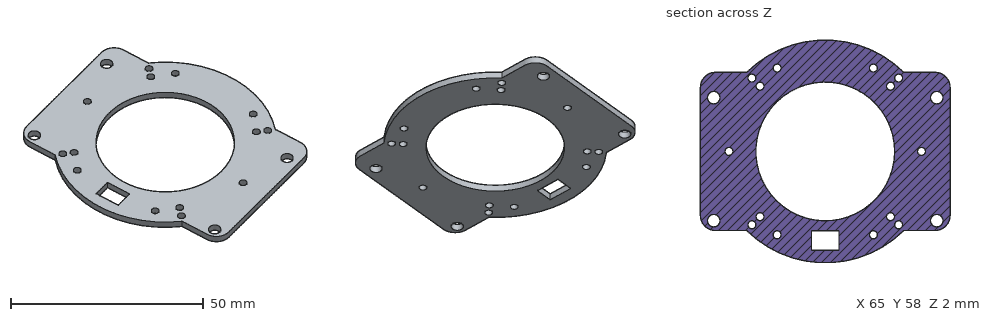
import cadquery as cq
import math

plate_length = 65.0
plate_width = 41.2
corner_radius = 4.0
thickness = 2.0
disc_diameter = 58.0
bore_diameter = 36.0

pilot_diameter = 2.0
pilot_circle_radius = 25.0
pilot_count = 6
diagonal_radii = (24.0, 27.0)

mount_diameter = 3.2
mount_x = 29.0
mount_back_y = 14.0
mount_front_y = -18.0

window_length = 7.1
window_width = 5.0
window_y = -23.15


def polar_point(radius, angle_degrees):
    angle = math.radians(angle_degrees)
    return (radius * math.cos(angle), radius * math.sin(angle))


def make_blank():
    """Rounded rectangular plate joined with a concentric disc."""
    plate = cq.Workplane("XY").rect(plate_length, plate_width).extrude(thickness)
    plate = plate.edges("|Z").fillet(corner_radius)
    disc = cq.Workplane("XY").circle(disc_diameter / 2).extrude(thickness)
    return plate.union(disc)


def cut_holes(body, points, diameter):
    """Cut round through holes at the given points."""
    cutters = cq.Workplane("XY").pushPoints(points).circle(diameter / 2).extrude(thickness)
    return body.cut(cutters)


ring_points = [polar_point(pilot_circle_radius, i * 360 / pilot_count) for i in range(pilot_count)]
diagonal_points = [
    polar_point(radius, angle)
    for radius in diagonal_radii
    for angle in (45, 135, 225, 315)
]
mount_points = [
    (side * mount_x, y)
    for side in (-1, 1)
    for y in (mount_back_y, mount_front_y)
]

result = make_blank()
result = cut_holes(result, [(0, 0)], bore_diameter)
result = cut_holes(result, ring_points + diagonal_points, pilot_diameter)
result = cut_holes(result, mount_points, mount_diameter)

window = cq.Workplane("XY").center(0, window_y).rect(window_length, window_width).extrude(thickness)
result = result.cut(window)